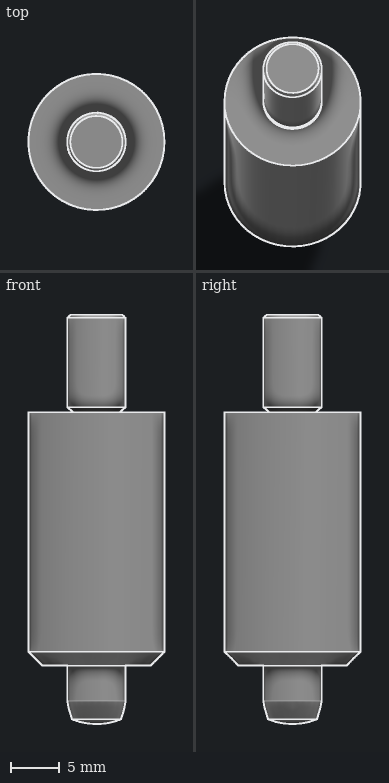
import cadquery as cq
import math

total_height = 42.0
stud_length = 10.0
nose_length = 6.0
sleeve_bottom = nose_length
sleeve_top = total_height - stud_length

sleeve_diameter = 14.0
sleeve_chamfer = 1.43

pin_diameter = 6.0
pin_radius = pin_diameter / 2
top_chamfer = 0.35
neck_radius = 2.4
neck_height = 0.5
tip_radius = 2.5
dome_height = 0.5
taper_length = 1.9

taper_bulge = 0.065
taper_top = dome_height + taper_length
taper_mid = ((pin_radius + tip_radius) / 2 + taper_bulge, dome_height + taper_length / 2)

dome_radius = (tip_radius**2 + dome_height**2) / (2 * dome_height)
dome_mid_x = tip_radius / 2
dome_mid = (dome_mid_x, dome_radius - math.sqrt(dome_radius**2 - dome_mid_x**2))


def make_sleeve():
    """Cylinder with a chamfered lower rim and a through bore that fits the pin."""
    return (
        cq.Workplane("XY", origin=(0, 0, sleeve_bottom))
        .circle(sleeve_diameter / 2)
        .extrude(sleeve_top - sleeve_bottom)
        .faces("<Z")
        .chamfer(sleeve_chamfer)
        .faces(">Z")
        .workplane()
        .hole(pin_diameter)
    )


def make_pin():
    """Revolved pin: domed end, rounded taper, shank flush with the sleeve, undercut and stud."""
    half_profile = (
        cq.Workplane("XZ")
        .moveTo(0, 0)
        .threePointArc(dome_mid, (tip_radius, dome_height))
        .threePointArc(taper_mid, (pin_radius, taper_top))
        .lineTo(pin_radius, sleeve_top)
        .lineTo(neck_radius, sleeve_top)
        .lineTo(pin_radius, sleeve_top + neck_height)
        .lineTo(pin_radius, total_height - top_chamfer)
        .lineTo(pin_radius - top_chamfer, total_height)
        .lineTo(0, total_height)
        .close()
    )
    return half_profile.revolve(360, (0, 0, 0), (0, 1, 0))


sleeve = make_sleeve()
pin = make_pin()

result = cq.Compound.makeCompound([sleeve.val(), pin.val()])